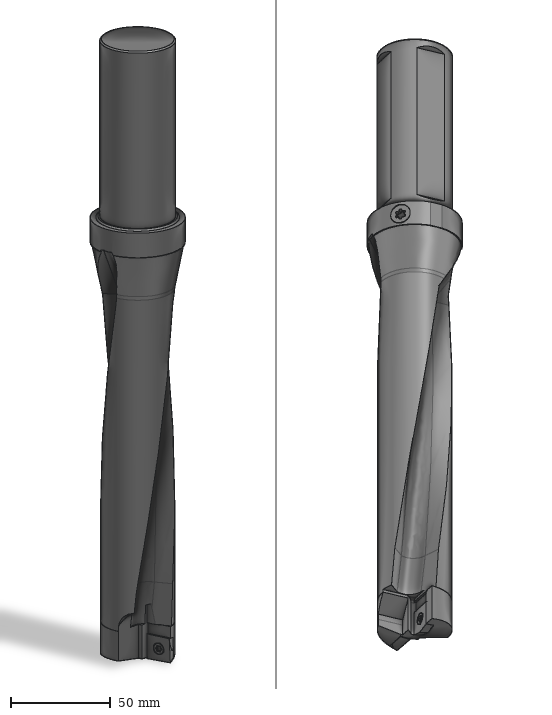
import cadquery as cq
import math


overreach = 3.0

shank_radius = 38.1 / 2
shank_length = 95.0
shank_chamfer = 0.8
root_boss_top_radius = 20.0
root_boss_radius = 21.0
root_boss_height = 0.8
flat_distance = 17.4
flat_top = shank_length - 5.4
flat_bottom = 6.2
flat_end_run_per_depth = 0.985

flange_radius = 23.87
flange_height = 13.2
flange_flat_distance = 23.65
neck_top_radius = 23.3
neck_bottom = -35.6
neck_radius = 18.9
neck_step_bottom = -37.6
body_radius = 18.65
head_top = -215.0
head_radius = 18.75

tip = shank_length - 330.15
ridge = tip + 1.5
eave = tip + 4.3

helix_top = -42.8
helix_bottom = -193.0
helix_length = helix_top - helix_bottom
twist = 73.5
rake_angle = 12.5
web_radius = 4.6
web_angle = -42.0
heel_crease = (1.6, -10.0)
rake_crease = (9.2, -0.8)
heel_rim_angle = -72.0
flute_overreach = 2.2
exit_rise = 31.0
exit_sideways = 4.0
exit_outward = 21.5
runout_length = helix_bottom - head_top
runout_radius = 12.0
runout_angle = -41.5

outer_gullet_heel = 0.4
outer_gullet_heel_lean = 3.0
center_gullet_heel = 1.6
gullet_floor_y = -4.5
outer_gullet_top = -204.5
outer_gullet_round = 9.0
center_gullet_top = -213.5
center_gullet_round = 2.0
center_gullet_corner_y = -1.5
heel_relief_bend = -224.5
heel_relief_step = -227.5
heel_relief_depth = 4.5
heel_relief_end_depth = 5.0

insert_thickness = 4.76
insert_clearance_angle = 11
insert_top = -221.0
outer_insert_inside = 5.4
outer_insert_outside = 19.4
outer_insert_side_relief = 0.7
outer_insert_bottom = tip + 1.0
outer_insert_corner = tip + 1.4
center_insert_inside = 1.0
center_insert_outside = -12.5
center_insert_apex = -5.5
center_insert_end_rise = 1.4
relief_pocket_depth = 1.2
screw_head_diameter = 5.6
screw_shank_diameter = 4.0
insert_seat_diameter = 6.2
insert_hole_diameter = 4.8
screw_head_height = 2.6
screw_length = 10.0
screw_socket_diameter = 3.5
screw_socket_depth = 1.2
socket_lobes = 6

plug_angle = 135.0
plug_diameter = 10.3
plug_z = -6.6
plug_face = math.sqrt(flange_radius**2 - (plug_diameter / 2) ** 2)
plug_length = 9.0
plug_socket_diameter = 5.6
plug_socket_depth = 3.0


def half_turn(shape):
    return shape.rotate((0, 0, 0), (0, 0, 1), 180)


def polar(radius, degrees):
    angle = math.radians(degrees)
    return radius * math.cos(angle), radius * math.sin(angle)


def box(x_range, y_range, z_range):
    """Axis-aligned box between the given limits."""
    lows, highs = zip(x_range, y_range, z_range)
    sizes = [high - low for low, high in zip(lows, highs)]
    return cq.Workplane("XY").box(*sizes, centered=False).translate(lows)


def beyond(start, end, factor):
    """Point on the line from start through end, at the given multiple of their distance."""
    return tuple(a + factor * (b - a) for a, b in zip(start, end))


def turned_body():
    neck_top = -flange_height
    profile = [
        (0, shank_length),
        (shank_radius - shank_chamfer, shank_length),
        (shank_radius, shank_length - shank_chamfer),
        (shank_radius, root_boss_height),
        (root_boss_top_radius, root_boss_height),
        (root_boss_radius, 0),
        (flange_radius, 0),
        (flange_radius, neck_top),
        (neck_top_radius, neck_top),
        (neck_radius, neck_bottom),
        (body_radius, neck_step_bottom),
        (body_radius, head_top),
        (head_radius, head_top),
        (head_radius, tip),
        (0, tip),
    ]
    return cq.Workplane("XZ").polyline(profile).close().revolve(360, (0, 0), (0, 1))


def flange_flat():
    """Cutter for the narrow flat on the -X side of the flange rim."""
    far = flange_radius + overreach
    return box((-far, -flange_flat_distance), (-far, far), (-flange_height, 0))


def shank_flat():
    """Cutter for the clamping flat on the -X side, with sloping ends."""
    outside = -shank_radius - overreach
    run = flat_end_run_per_depth * (-flat_distance - outside)
    profile = [
        (-flat_distance, flat_bottom),
        (-flat_distance, flat_top),
        (outside, flat_top + run),
        (outside, flat_bottom - run),
    ]
    return cq.Workplane("XZ").polyline(profile).close().extrude(shank_radius, both=True)


def tip_roof():
    """Cutter below the two sloping end faces."""
    slope = (eave - ridge) / head_radius
    half_width = head_radius + overreach
    low = tip - overreach
    profile = [
        (0, ridge),
        (half_width, ridge + slope * half_width),
        (half_width, low),
        (-half_width, low),
        (-half_width, ridge + slope * half_width),
    ]
    return cq.Workplane("YZ").polyline(profile).close().extrude(half_width, both=True)


def flute_section(z):
    """Round trough with a straight wall on each side, reaching out past the rim of the drill."""
    heel_end = beyond(heel_crease, polar(body_radius, heel_rim_angle), flute_overreach)
    rake_end = beyond(rake_crease, (body_radius, 0), flute_overreach)
    return (
        cq.Workplane("XY", origin=(0, 0, z))
        .moveTo(*heel_end)
        .lineTo(*heel_crease)
        .threePointArc(polar(web_radius, web_angle), rake_crease)
        .lineTo(*rake_end)
        .close()
    )


def slanted_flute(z, angle, direction):
    """The flute section turned to the angle and pushed along a slanting straight path."""
    wire = flute_section(z).val().rotate(cq.Vector(0, 0, 0), cq.Vector(0, 0, 1), angle)
    return cq.Workplane(cq.Solid.extrudeLinear(wire, [], cq.Vector(*direction)))


def flute():
    """Three cutters: helical stretch, slanting exit into the neck, straight run to the tip."""
    helix = flute_section(helix_bottom).twistExtrude(helix_length, twist)
    helix = helix.rotate((0, 0, 0), (0, 0, 1), rake_angle)
    leave = slanted_flute(helix_top, rake_angle + twist, (-exit_sideways, exit_outward, exit_rise))
    sideways = runout_length * math.radians(twist) / helix_length * runout_radius
    across = polar(sideways, rake_angle + runout_angle - 90)
    runout = slanted_flute(helix_bottom, rake_angle, (*across, -runout_length))
    return [helix, leave, runout]


def gullet(plan, top, rounding):
    """Quarter cut in front of an insert: a plan outline with a rounded upper heel edge."""
    low = tip - overreach
    far = flange_radius
    heel = min(x for x, y in plan)
    prism = cq.Workplane("XY", origin=(0, 0, low)).polyline(plan).close().extrude(top - low)
    rounded = box((heel, far), (-far, 0), (low, top)).edges("|Y and <X and >Z").fillet(rounding)
    return prism.intersect(rounded)


def outer_gullet():
    far = flange_radius
    plan = [
        (outer_gullet_heel, -far),
        (outer_gullet_heel, -head_radius),
        (outer_gullet_heel + outer_gullet_heel_lean, gullet_floor_y),
        (outer_insert_inside, gullet_floor_y),
        (outer_insert_inside, 0),
        (far, 0),
        (far, -far),
    ]
    return gullet(plan, outer_gullet_top, outer_gullet_round)


def center_gullet():
    """Gullet of the centre insert as it would lie on +X, before its half turn."""
    far = flange_radius
    plan = [
        (center_gullet_heel, -far),
        (center_gullet_heel, gullet_floor_y),
        (-center_insert_inside, center_gullet_corner_y),
        (-center_insert_inside, 0),
        (far, 0),
        (far, -far),
    ]
    return gullet(plan, center_gullet_top, center_gullet_round)


def heel_relief():
    """Undercut of the centre gullet's heel: a slope, a short wall and a slightly leaning wall."""
    low = tip - overreach
    profile = [
        (center_gullet_heel, head_top),
        (-heel_relief_depth, heel_relief_bend),
        (-heel_relief_depth, heel_relief_step),
        (-heel_relief_end_depth, low),
        (flange_radius, low),
        (flange_radius, head_top),
    ]
    start = cq.Workplane("XZ", origin=(0, gullet_floor_y, 0))
    return start.polyline(profile).close().extrude(flange_radius)


def plate(outline):
    """Plate with its cutting edges on an outline in the rake plane Y = 0, narrowing towards +Y."""
    face = cq.Workplane("XZ").polyline(outline).close()
    return face.extrude(-insert_thickness, taper=insert_clearance_angle)


def outer_insert_blank():
    return plate(
        [
            (outer_insert_inside, insert_top),
            (outer_insert_outside - outer_insert_side_relief, insert_top),
            (outer_insert_outside, outer_insert_corner),
            (outer_insert_inside, outer_insert_bottom),
        ]
    )


def center_insert_blank():
    """Centre insert as it would sit on +X, before its half turn."""
    end_z = tip + center_insert_end_rise
    return plate(
        [
            (-center_insert_inside, insert_top),
            (-center_insert_outside, insert_top),
            (-center_insert_outside, end_z),
            (-center_insert_apex, tip),
            (-center_insert_inside, end_z),
        ]
    )


def relief_pocket(inside, outside):
    """Shallow recess in the rake plane above an insert."""
    return box((inside, outside), (0, relief_pocket_depth), (insert_top, head_top))


def lobed_socket(diameter, depth):
    """Six-lobed driver recess, going from Z = 0 down."""
    lobe = diameter / 4
    core = (diameter - lobe) / 2
    lobes = (
        cq.Workplane("XY")
        .polarArray(core, 0, 360, socket_lobes)
        .circle(lobe / 2)
        .extrude(-depth)
    )
    return cq.Workplane("XY").circle(core).extrude(-depth).union(lobes)


def countersunk(head_diameter, shank_diameter):
    """Countersunk shape with its axis on Z and the top of its head at Z = 0."""
    head = head_diameter / 2
    shank = shank_diameter / 2
    profile = [
        (0, 0),
        (head, 0),
        (shank, -screw_head_height),
        (shank, -screw_length),
        (0, -screw_length),
    ]
    return cq.Workplane("XZ").polyline(profile).close().revolve(360, (0, 0), (0, 1))


def place_screw(shape, x, z):
    """Turn a screw shape so that its head faces -Y in the rake plane."""
    return shape.rotate((0, 0, 0), (1, 0, 0), 90).translate((x, 0, z))


def place_plug(shape):
    """Turn a plug shape so that its face points outwards from the flange."""
    upright = shape.rotate((0, 0, 0), (0, 1, 0), 90).translate((plug_face, 0, plug_z))
    return upright.rotate((0, 0, 0), (0, 0, 1), plug_angle)


screw_solid = countersunk(screw_head_diameter, screw_shank_diameter)
insert_hole = countersunk(insert_seat_diameter, insert_hole_diameter)
screw = screw_solid.cut(lobed_socket(screw_socket_diameter, screw_socket_depth))
screw_z = (insert_top + outer_insert_bottom) / 2
outer_screw_x = (outer_insert_inside + outer_insert_outside) / 2
center_screw_x = -(center_insert_inside + center_insert_outside) / 2

outer_screw_space = place_screw(screw_solid, outer_screw_x, screw_z)
outer_screw = place_screw(screw, outer_screw_x, screw_z)
outer_insert = outer_insert_blank().cut(place_screw(insert_hole, outer_screw_x, screw_z))

center_screw_space = half_turn(place_screw(screw_solid, center_screw_x, screw_z))
center_screw = half_turn(place_screw(screw, center_screw_x, screw_z))
center_insert = center_insert_blank().cut(place_screw(insert_hole, center_screw_x, screw_z))
center_insert = half_turn(center_insert)

plug_blank = cq.Workplane("XY").circle(plug_diameter / 2).extrude(-plug_length)
plug = place_plug(plug_blank.cut(lobed_socket(plug_socket_diameter, plug_socket_depth)))
plug_bore = cq.Workplane("XY", origin=(0, 0, -plug_length)).circle(plug_diameter / 2)
plug_bore = plug_bore.extrude(plug_length + overreach)

drill_body = turned_body().cut(flange_flat())
drill_body = drill_body.cut(shank_flat())
drill_body = drill_body.cut(shank_flat().rotate((0, 0, 0), (0, 0, 1), -90))
drill_body = drill_body.cut(tip_roof())
for cutter in flute():
    drill_body = drill_body.cut(cutter)
    drill_body = drill_body.cut(half_turn(cutter))
drill_body = drill_body.cut(outer_gullet())
drill_body = drill_body.cut(half_turn(center_gullet()))
drill_body = drill_body.cut(half_turn(heel_relief()))
drill_body = drill_body.cut(relief_pocket(outer_insert_inside, flange_radius))
drill_body = drill_body.cut(half_turn(relief_pocket(-center_insert_inside, -center_insert_outside)))
for space in (outer_insert_blank(), half_turn(center_insert_blank())):
    drill_body = drill_body.cut(space)
for space in (outer_screw_space, center_screw_space):
    drill_body = drill_body.cut(space)
drill_body = drill_body.cut(place_plug(plug_bore))

result = cq.Compound.makeCompound(
    [
        drill_body.val(),
        outer_insert.val(),
        center_insert.val(),
        outer_screw.val(),
        center_screw.val(),
        plug.val(),
    ]
)